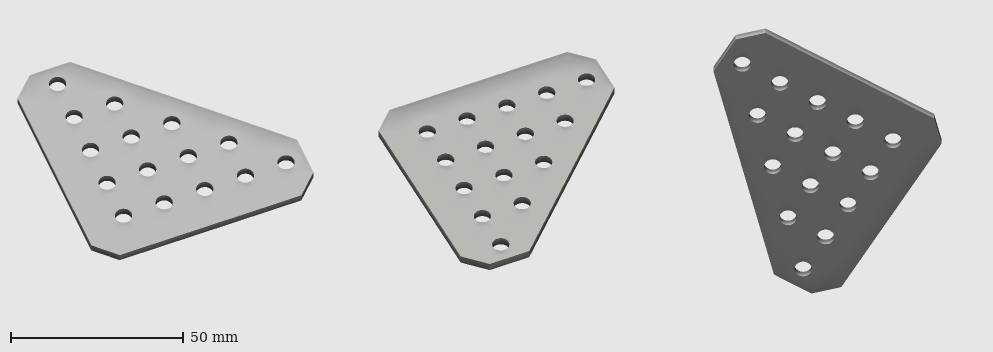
import cadquery as cq

side = 69.6
thickness = 2.5
corner_cut = 6.3
tip_flat = 12.7
hole_diameter = 5.0
hole_pitch = 12.75
hole_margin = 12.7
holes_per_side = 5

far_cut = side - corner_cut
diagonal_start = corner_cut + tip_flat

outline = [
    (corner_cut, 0),
    (far_cut, 0),
    (side, corner_cut),
    (side, far_cut),
    (far_cut, side),
    (side - diagonal_start, side),
    (0, diagonal_start),
    (0, corner_cut),
]
plate = cq.Workplane("XY").polyline(outline).close().extrude(thickness)

hole_centres = [
    (side - hole_margin - column * hole_pitch, hole_margin + row * hole_pitch)
    for row in range(holes_per_side)
    for column in range(holes_per_side - row)
]
holes = (
    cq.Workplane("XY")
    .pushPoints(hole_centres)
    .circle(hole_diameter / 2)
    .extrude(thickness)
)

result = plate.cut(holes)